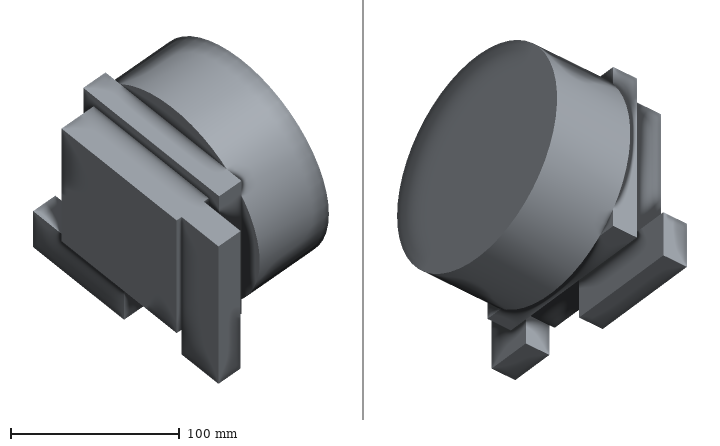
import cadquery as cq

drum_diameter = 150
drum_depth = 56
plate_side = 118
plate_depth = 18
block_side = 100
block_depth = 26

bar_width = 32
bar_depth = 18
bar_setback = 4
side_bar_length = 122
bottom_bar_length = 79

block_front = -(plate_depth + block_depth)
block_half = block_side / 2
bar_front = block_front + bar_setback


def box_from(x_min, y_min, z_min, x_size, y_size, z_size):
    """Box placed by its lowest corner."""
    return cq.Workplane("XY").box(x_size, y_size, z_size, centered=False).translate((x_min, y_min, z_min))


def square_slab(side, depth, front):
    """Square slab centred on the drum axis, reaching back from its front face."""
    return box_from(-side / 2, front, -side / 2, side, depth, side)


drum = cq.Workplane("XZ").circle(drum_diameter / 2).extrude(-drum_depth)

plate = square_slab(plate_side, plate_depth, -plate_depth)
block = square_slab(block_side, block_depth, block_front)

side_bar = box_from(
    block_half, bar_front, block_half - side_bar_length,
    bar_width, bar_depth, side_bar_length,
)

bottom_bar = box_from(
    -bottom_bar_length, bar_front, -block_half - bar_width,
    bottom_bar_length, bar_depth, bar_width,
)

result = cq.Compound.makeCompound(
    [drum.val(), plate.val(), block.val(), side_bar.val(), bottom_bar.val()]
)